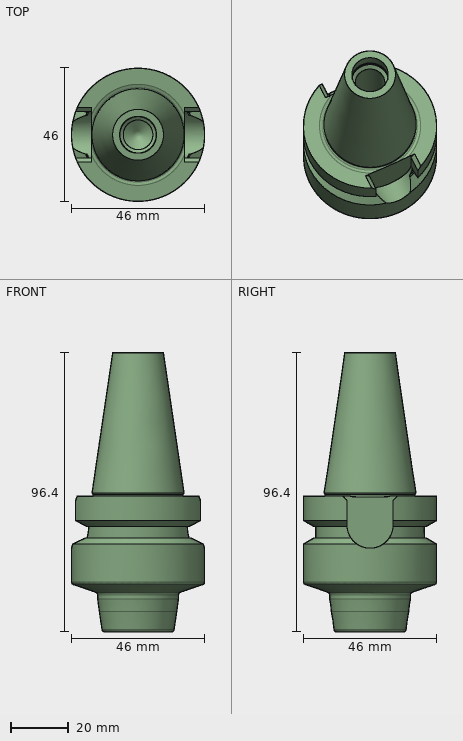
import cadquery as cq
import math

total_height = 96.4
nose_band_bottom = 7.1
nose_band_top = 11.5
skirt_bottom = 13.5
collar_bottom = 16.6
groove_bottom = 30.4
groove_top = 38.5
flange_top = 46.85
taper_bottom = 48.0

nose_tip_radius = 12.3
nose_band_radius = 13.4
nose_radius = 28 / 2
collar_radius = 46.0 / 2
groove_radius = 18.8
face_relief_radius = 17.45
neck_radius = 31.1 / 2
taper_base_radius = 15.9
taper_tip_radius = 8.8

groove_wall_angle = 30
groove_ledge = 0.5
groove_wall_radius = groove_radius + groove_ledge
groove_wall_height = (collar_radius - groove_wall_radius) * math.tan(math.radians(groove_wall_angle))
groove_floor_bottom = groove_bottom + groove_wall_height
groove_floor_top = groove_top - groove_wall_height

face_relief_depth = 0.5
taper_edge_height = 0.6
nose_edge_fillet = 1
collar_edge_fillet = 1
skirt_root_fillet = 1
neck_root_fillet = 0.6

slot_width = 15.9
slot_bottom = 28.9
slot_floor_x = 16.0
slot_mouth_chamfer = 1.4

socket_radius = 12.5 / 2
socket_depth = 5.7
relief_radius = 12.9 / 2
relief_depth = 7.2
drill_radius = 10.2 / 2
drill_depth = 33.7
drill_point_angle = 118


def revolve_profile(points):
    """Revolve (radius, height) points about the Z axis."""
    profile = cq.Workplane("XZ").polyline(points).close()
    return profile.revolve(360, (0, 0, 0), (0, 1, 0))


def round_ring(body, height, fillet):
    """Fillet the circular edge at the given height."""
    reach = 0.05
    ring = cq.selectors.BoxSelector(
        (-reach, -reach, height - reach), (reach, reach, height + reach)
    )
    return body.edges("%CIRCLE").edges(ring).fillet(fillet)


def holder_body():
    """Solid of revolution: nose, collar with gripper groove, and taper."""
    body = revolve_profile([
        (0, 0),
        (nose_tip_radius, 0),
        (nose_band_radius, nose_band_bottom),
        (nose_radius, nose_band_top),
        (nose_radius, skirt_bottom),
        (collar_radius, collar_bottom),
        (collar_radius, groove_bottom),
        (groove_wall_radius, groove_floor_bottom),
        (groove_radius, groove_floor_bottom),
        (groove_radius, groove_floor_top),
        (groove_wall_radius, groove_floor_top),
        (collar_radius, groove_top),
        (collar_radius, flange_top),
        (face_relief_radius, flange_top),
        (neck_radius, flange_top - face_relief_depth),
        (neck_radius, taper_bottom - taper_edge_height),
        (taper_base_radius, taper_bottom),
        (taper_tip_radius, total_height),
        (0, total_height),
    ])
    body = round_ring(body, 0, nose_edge_fillet)
    body = round_ring(body, collar_bottom, collar_edge_fillet)
    body = round_ring(body, skirt_bottom, skirt_root_fillet)
    return round_ring(body, flange_top - face_relief_depth, neck_root_fillet)


def drive_slot(side):
    """Round-bottomed slot with a chamfered mouth; side is +1 or -1 along X."""
    half_width = slot_width / 2
    arc_center = slot_bottom + half_width
    mouth_half_width = half_width + slot_mouth_chamfer
    slot_depth = collar_radius - slot_floor_x
    return (
        cq.Workplane("YZ", origin=(side * slot_floor_x, 0, 0))
        .moveTo(-half_width, arc_center)
        .threePointArc((0, slot_bottom), (half_width, arc_center))
        .lineTo(half_width, flange_top - slot_mouth_chamfer)
        .lineTo(mouth_half_width, flange_top)
        .lineTo(-mouth_half_width, flange_top)
        .lineTo(-half_width, flange_top - slot_mouth_chamfer)
        .close()
        .extrude(side * slot_depth)
    )


def drawbar_socket():
    """Blind bore: plain mouth, wider relief, then a narrower drilled hole."""
    cone_slope = 1 / math.tan(math.radians(drill_point_angle / 2))
    socket_floor = total_height - socket_depth
    relief_floor = total_height - relief_depth
    drill_start = relief_floor - (relief_radius - drill_radius) * cone_slope
    drill_floor = total_height - drill_depth
    return revolve_profile([
        (0, total_height),
        (socket_radius, total_height),
        (socket_radius, socket_floor),
        (relief_radius, socket_floor),
        (relief_radius, relief_floor),
        (drill_radius, drill_start),
        (drill_radius, drill_floor),
        (0, drill_floor - drill_radius * cone_slope),
    ])


result = holder_body().cut(drawbar_socket())
for slot_side in (-1, 1):
    result = result.cut(drive_slot(slot_side))